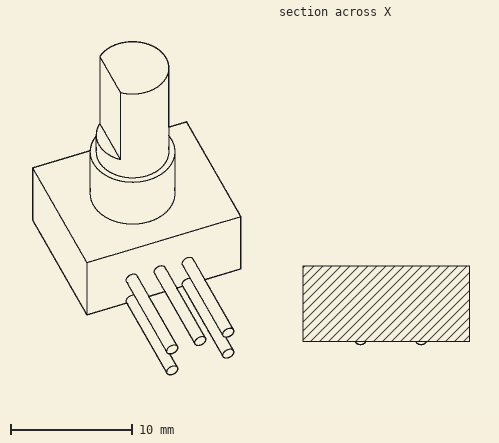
import cadquery as cq

body_length = 11.72
body_width = 13.75
body_height = 6.25
body_offset_y = 0.375

bushing_diameter = 7.0
bushing_height = 5.0
shaft_diameter = 6.0
shaft_height = 10.0
flat_depth = 1.0
flat_height = 8.0

pin_diameter = 1.0
pin_length = 8.75
pin_pitch = 2.5
lower_pin_z = 0.25
upper_pin_z = lower_pin_z + pin_pitch
pin_positions = [
    (-pin_pitch, upper_pin_z),
    (0, upper_pin_z),
    (pin_pitch, upper_pin_z),
    (-pin_pitch, lower_pin_z),
    (pin_pitch, lower_pin_z),
]

bushing_top = body_height + bushing_height
shaft_top = bushing_top + shaft_height


def make_body():
    return (
        cq.Workplane("XY", origin=(0, body_offset_y, 0))
        .rect(body_length, body_width)
        .extrude(body_height)
    )


def make_bushing():
    return cq.Workplane("XY", origin=(0, 0, body_height)).circle(bushing_diameter / 2).extrude(bushing_height)


def make_shaft():
    """Round shaft with a flat on its -Y side, running down from the free end."""
    shaft = cq.Workplane("XY", origin=(0, 0, bushing_top)).circle(shaft_diameter / 2).extrude(shaft_height)
    flat_cut = (
        cq.Workplane("XY", origin=(0, -shaft_diameter / 2, shaft_top - flat_height))
        .rect(shaft_diameter, 2 * flat_depth)
        .extrude(flat_height)
    )
    return shaft.cut(flat_cut)


def make_pins():
    """Upper row of three pins and lower row of two, pointing along +X."""
    return (
        cq.Workplane("YZ", origin=(body_length / 2, 0, 0))
        .pushPoints(pin_positions)
        .circle(pin_diameter / 2)
        .extrude(pin_length)
    )


result = make_body().union(make_bushing()).union(make_shaft()).union(make_pins())